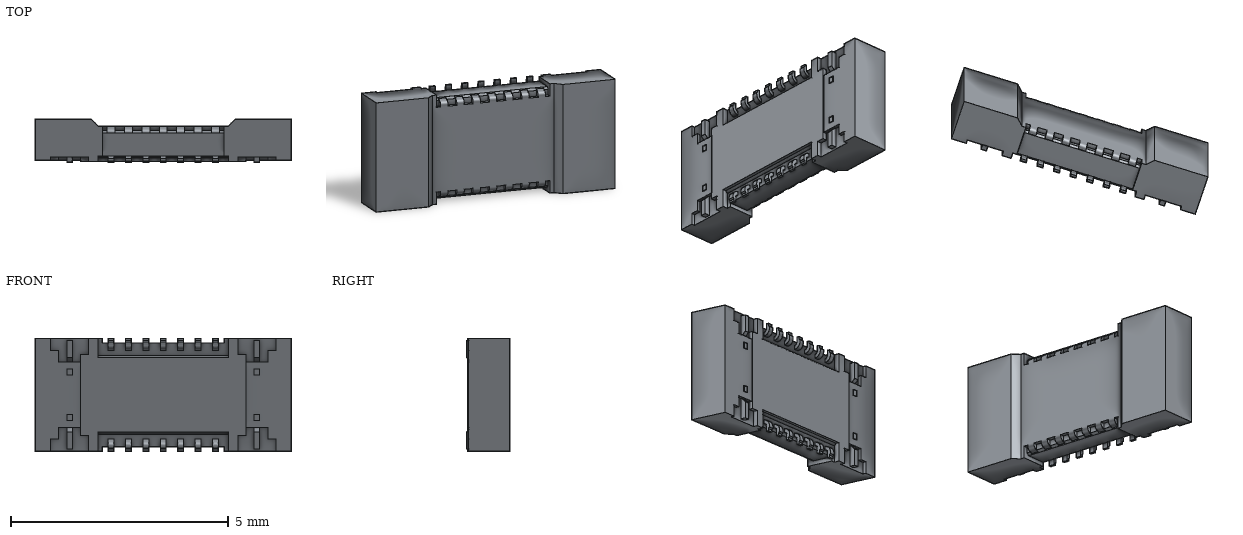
import cadquery as cq
import math

length = 5.9
thickness = 1.0
height = 2.6
half_length = length / 2
half_height = height / 2
lead_front_y = -thickness / 2
back_y = thickness / 2

plateau_y = lead_front_y + 0.0205
body_front_y = lead_front_y + 0.05
pad_front_y = body_front_y - 0.02
recess_floor_y = lead_front_y + 0.13
notch_floor_y = lead_front_y + 0.155
valley_y = back_y - 0.16

valley_half_length = 1.5
middle_half_length = 1.4
middle_half_height = 1.2
rim_thickness = 0.16
ledge_width = 0.105
rim_chamfer = rim_thickness - ledge_width
rim_y = valley_y - rim_thickness
wrap_drop = 0.03
wrap_center_z = middle_half_height - wrap_drop - rim_thickness

notch_bottom_z = 0.855
notch_slope_size = 0.055
notch_wall_y = notch_floor_y - notch_slope_size
notch_slope_end_z = notch_bottom_z + notch_slope_size

plateau_half_length = 1.9
plateau_arm_half_length = 1.715
plateau_step_z = 0.93
recess_bottom_z = 0.755
recess_step_x = 2.41
recess_step_z = 1.02
recess_outer_x = 2.59

tab_x = 2.155
tab_width = 0.13
tab_top_z = half_height - 0.055
tab_slope_size = 0.1
tab_slope_top_z = recess_bottom_z + tab_slope_size
tab_slope_end_y = lead_front_y + tab_slope_size
pad_center_z = 0.525
pad_height = 0.14

contact_count = 7
contact_pitch = 0.4
contact_width = 0.135
wrap_width = 0.18
contact_thickness = 0.09
bend_radius = 0.16
bend_center_y = lead_front_y + bend_radius
bend_center_z = 1.175
tip_step = 0.03
tip_z = tab_top_z
tip_slope_start_z = tip_z - tip_step

overlap = 0.03


def box(x_min, x_max, y_min, y_max, z_min, z_max):
    """Box given by its limits."""
    return cq.Workplane("XY").box(
        x_max - x_min, y_max - y_min, z_max - z_min, centered=False
    ).translate((x_min, y_min, z_min))


def extrude_along_x(yz_sketch, width, x_center):
    """Solid of a closed YZ outline, centred on x_center."""
    return yz_sketch.extrude(width / 2, both=True).translate((x_center, 0, 0))


def with_mirror(solid, plane):
    """A solid joined with its mirror image."""
    return solid.union(solid.mirror(plane))


def make_housing():
    """End blocks joined by the lower, shallower middle section."""
    chamfer = back_y - valley_y
    housing = (
        cq.Workplane("XY")
        .polyline([
            (-half_length, body_front_y),
            (half_length, body_front_y),
            (half_length, back_y),
            (valley_half_length + chamfer, back_y),
            (valley_half_length, valley_y),
            (-valley_half_length, valley_y),
            (-valley_half_length - chamfer, back_y),
            (-half_length, back_y),
        ])
        .close()
        .extrude(half_height, both=True)
    )
    plateau = box(-plateau_half_length, plateau_half_length, plateau_y, body_front_y + overlap,
                  -half_height, half_height)
    return housing.union(plateau)


def make_recess():
    """Stepped pocket in the upper right front corner."""
    outline = [
        (plateau_arm_half_length, half_height),
        (plateau_arm_half_length, plateau_step_z),
        (plateau_half_length, plateau_step_z),
        (plateau_half_length, recess_bottom_z),
        (recess_step_x, recess_bottom_z),
        (recess_step_x, recess_step_z),
        (recess_outer_x, recess_step_z),
        (recess_outer_x, half_height),
    ]
    return (
        cq.Workplane("XZ", origin=(0, recess_floor_y, 0))
        .polyline(outline)
        .close()
        .extrude(recess_floor_y - lead_front_y)
    )


def make_notch():
    """Upper front cut-out around the contacts, with a sloped inner wall."""
    outline = cq.Workplane("YZ").polyline([
        (lead_front_y, half_height),
        (lead_front_y, notch_bottom_z),
        (notch_wall_y, notch_bottom_z),
        (notch_floor_y, notch_slope_end_z),
        (notch_floor_y, half_height),
    ]).close()
    return extrude_along_x(outline, 2 * valley_half_length, 0)


def make_middle_relief():
    """Removes the top of the middle section and bevels and steps its back rim."""
    step_y = rim_y + rim_chamfer
    outline = cq.Workplane("YZ").polyline([
        (lead_front_y, half_height),
        (lead_front_y, middle_half_height),
        (rim_y, middle_half_height),
        (step_y, middle_half_height - rim_chamfer),
        (step_y, wrap_center_z),
        (valley_y, wrap_center_z),
        (valley_y, half_height),
    ]).close()
    return extrude_along_x(outline, 2 * middle_half_length, 0)


def make_tab():
    """Upper right soldering tab with a sloped inner end."""
    outline = cq.Workplane("YZ").polyline([
        (lead_front_y, tab_top_z),
        (lead_front_y, tab_slope_top_z),
        (tab_slope_end_y, recess_bottom_z),
        (recess_floor_y + overlap, recess_bottom_z),
        (recess_floor_y + overlap, tab_top_z),
    ]).close()
    return extrude_along_x(outline, tab_width, tab_x)


def make_pad():
    """Small upper right pad standing on the end block."""
    return box(tab_x - tab_width / 2, tab_x + tab_width / 2, pad_front_y, body_front_y + overlap,
               pad_center_z - pad_height / 2, pad_center_z + pad_height / 2)


def make_lead(x_center):
    """Upper contact lead: a quarter bend out of the notch floor and a stepped tip."""
    inner_radius = bend_radius - contact_thickness
    inner_y = lead_front_y + contact_thickness
    diagonal = math.sqrt(0.5)
    outline = (
        cq.Workplane("YZ")
        .moveTo(bend_center_y + overlap, bend_center_z - bend_radius)
        .lineTo(bend_center_y, bend_center_z - bend_radius)
        .threePointArc(
            (bend_center_y - bend_radius * diagonal, bend_center_z - bend_radius * diagonal),
            (lead_front_y, bend_center_z),
        )
        .lineTo(lead_front_y, tip_slope_start_z)
        .lineTo(lead_front_y + tip_step, tip_z)
        .lineTo(lead_front_y + tip_step, half_height)
        .lineTo(inner_y, half_height)
        .lineTo(inner_y, bend_center_z)
        .threePointArc(
            (bend_center_y - inner_radius * diagonal, bend_center_z - inner_radius * diagonal),
            (bend_center_y, bend_center_z - inner_radius),
        )
        .lineTo(bend_center_y + overlap, bend_center_z - inner_radius)
        .close()
    )
    return extrude_along_x(outline, contact_width, x_center)


def make_wrap_groove(x_center):
    """Gap through the upper rim that leaves room for one contact wrap."""
    return box(x_center - wrap_width / 2, x_center + wrap_width / 2, rim_y, valley_y,
               wrap_center_z, half_height)


def make_wrap(x_center):
    """Rounded part of an upper contact that wraps over the back rim."""
    diagonal = rim_thickness * math.sqrt(0.5)
    outline = (
        cq.Workplane("YZ")
        .moveTo(rim_y, wrap_center_z - overlap)
        .lineTo(rim_y, wrap_center_z + rim_thickness)
        .threePointArc((rim_y + diagonal, wrap_center_z + diagonal), (valley_y, wrap_center_z))
        .lineTo(valley_y, wrap_center_z - overlap)
        .close()
    )
    return extrude_along_x(outline, wrap_width, x_center)


result = make_housing()
result = result.cut(with_mirror(with_mirror(make_recess(), "YZ"), "XY"))
for cutter in (make_notch(), make_middle_relief()):
    result = result.cut(cutter).cut(cutter.mirror("XY"))

for corner_part in (make_tab(), make_pad()):
    result = result.union(with_mirror(with_mirror(corner_part, "YZ"), "XY"))

for index in range(contact_count):
    contact_x = (index - (contact_count - 1) / 2) * contact_pitch
    result = result.cut(with_mirror(make_wrap_groove(contact_x), "XY"))
    for contact_part in (make_lead(contact_x), make_wrap(contact_x)):
        result = result.union(with_mirror(contact_part, "XY"))